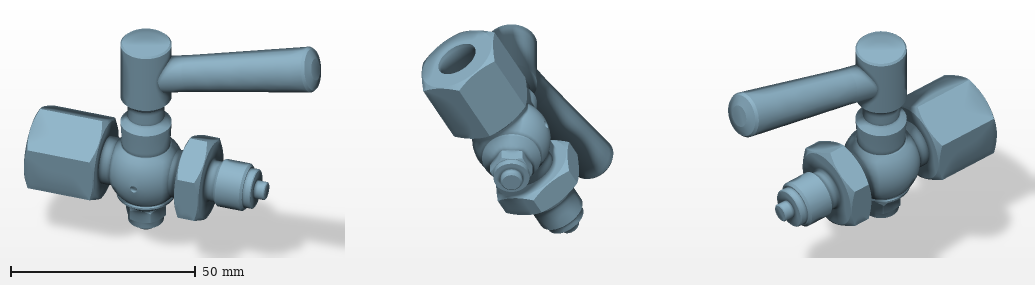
import cadquery as cq
import math


ball_dia = 21.4
pipe_dia = 13.2
vent_dia = 2.0
vent_depth = 3.2

hex_flats = 22.0
hex_face_dia = 21.4
hex_chamfer_angle = 30
inlet_nut_start = -31.4
inlet_nut_length = 20.05
outlet_nut_start = 11.55
outlet_nut_length = 7.0

socket_dia = 11.5
socket_depth = 16.2
countersink_dia = 5.5
bore_dia = 3.0
bore_length = 4.05
pilot_dia = 2.0
pilot_length = 1.6
drill_tip_angle = 59

neck_dia = 11.2
neck_fillet = 0.65
thread_start = 20.9
thread_end = 29.4
thread_chamfer = 0.65
collar_dia = 11.0
collar_end = 31.6
spigot_chamfer = 0.25
pin_dia = 5.0
pin_end = 34.6

stem_base_z = 8.1
stem_base_dia = 13.2
stem_dia = 14.0
stem_shoulder_z = 15.5
spindle_dia = 10.0
shoulder_height = (stem_dia - spindle_dia) / 2
hub_bottom_z = 22.1
hub_top_z = 41.95
hub_chamfer = 0.5

flange_dia = 16.0
flange_top_z = -7.9
flange_rim = 0.6
lock_nut_flats = 10.0
lock_nut_top_z = -11.15
lock_nut_bottom_z = -15.0
washer_dia = 9.8
washer_bottom_z = -17.0
stud_dia = 6.0
stud_bottom_z = -19.0
stud_chamfer = 0.5

lever_angle = 15
lever_z = 31.1
rod_dia = 10.0
rod_start = 5.4
rod_end = 12.7
grip_end = 48.65
grip_dia = 12.5
rim_dia = 11.5
rim_length = 0.8
tip_dia = 6.0
tip_length = 0.9


def revolve_profile(points, plane):
    """Revolve (radius, height) points, closed on the axis, about the plane's local Y."""
    outline = [(0, points[0][1])] + points
    ends_off_axis = points[-1][0] > 0
    if ends_off_axis:
        outline.append((0, points[-1][1]))
    return cq.Workplane(plane).polyline(outline).close().revolve(360, (0, 0), (0, 1))


def axis_plane(origin, direction):
    """Plane whose local Y is the given revolve axis in the XZ plane."""
    dx, dz = direction
    return cq.Plane(origin=origin, xDir=(dz, 0, -dx), normal=(0, -1, 0))


VERTICAL = axis_plane((0, 0, 0), (0, 1))
RUN = axis_plane((0, 0, 0), (1, 0))


def hexagon(axis, start, flats, face_dia, length):
    """Hexagonal prism along a revolve axis, its corners turned down to cones at both ends."""
    corner_radius = flats / math.sqrt(3)
    face_radius = face_dia / 2
    bevel = (corner_radius - face_radius) * math.tan(math.radians(hex_chamfer_angle))
    end = start + length
    blank = revolve_profile(
        [
            (face_radius, start),
            (corner_radius, start + bevel),
            (corner_radius, end - bevel),
            (face_radius, end),
        ],
        axis,
    )
    sketch_plane = cq.Plane(origin=axis.origin, xDir=axis.xDir, normal=axis.yDir)
    prism = (
        cq.Workplane(sketch_plane).workplane(offset=start)
        .polygon(6, 2 * corner_radius).extrude(length)
    )
    return prism.intersect(blank)


def make_run():
    pipe_radius = pipe_dia / 2
    neck_radius = neck_dia / 2
    collar_radius = collar_dia / 2
    outlet_nut_end = outlet_nut_start + outlet_nut_length
    run = revolve_profile(
        [
            (pipe_radius, inlet_nut_start + inlet_nut_length),
            (pipe_radius, outlet_nut_end),
            (neck_radius, outlet_nut_end),
            (neck_radius, thread_start),
            (pipe_radius, thread_start + pipe_radius - neck_radius),
            (pipe_radius, thread_end - thread_chamfer),
            (pipe_radius - thread_chamfer, thread_end),
            (collar_radius, thread_end),
            (collar_radius, collar_end - spigot_chamfer),
            (collar_radius - spigot_chamfer, collar_end),
            (pin_dia / 2, collar_end),
            (pin_dia / 2, pin_end - spigot_chamfer),
            (pin_dia / 2 - spigot_chamfer, pin_end),
        ],
        RUN,
    )
    neck_corners = run.edges("%CIRCLE").filter(lambda edge: math.isclose(edge.radius(), neck_radius))
    run = neck_corners.fillet(neck_fillet)
    inlet_nut = hexagon(RUN, inlet_nut_start, hex_flats, hex_face_dia, inlet_nut_length)
    outlet_nut = hexagon(RUN, outlet_nut_start, hex_flats, hex_face_dia, outlet_nut_length)
    return run.union(inlet_nut).union(outlet_nut)


def make_ball():
    ball = cq.Workplane("XY").sphere(ball_dia / 2)
    band = (
        cq.Workplane("XY").workplane(offset=flange_top_z)
        .circle(ball_dia).extrude(stem_base_z - flange_top_z)
    )
    return ball.intersect(band)


def make_stem():
    stem_radius = stem_dia / 2
    spindle_radius = spindle_dia / 2
    return revolve_profile(
        [
            (stem_base_dia / 2, 0),
            (stem_base_dia / 2, stem_base_z),
            (stem_radius, stem_shoulder_z),
            (spindle_radius, stem_shoulder_z + shoulder_height),
            (spindle_radius, hub_bottom_z),
            (stem_radius, hub_bottom_z + shoulder_height),
            (stem_radius, hub_top_z - hub_chamfer),
            (stem_radius - hub_chamfer, hub_top_z),
        ],
        VERTICAL,
    )


def make_bottom_fittings():
    stud_radius = stud_dia / 2
    fittings = revolve_profile(
        [
            (stud_radius - stud_chamfer, stud_bottom_z),
            (stud_radius, stud_bottom_z + stud_chamfer),
            (stud_radius, washer_bottom_z),
            (washer_dia / 2, washer_bottom_z),
            (washer_dia / 2, lock_nut_top_z),
            (lock_nut_flats / 2, lock_nut_top_z),
            (flange_dia / 2, flange_top_z - flange_rim),
            (flange_dia / 2, flange_top_z),
        ],
        VERTICAL,
    )
    lock_nut = hexagon(
        VERTICAL, lock_nut_bottom_z, lock_nut_flats, lock_nut_flats, lock_nut_top_z - lock_nut_bottom_z
    )
    return fittings.union(lock_nut)


def make_lever():
    tilt = math.radians(lever_angle)
    axis = axis_plane((0, 0, lever_z), (math.cos(tilt), math.sin(tilt)))
    rim_end = grip_end + rim_length
    return revolve_profile(
        [
            (rod_dia / 2, rod_start),
            (rod_dia / 2, rod_end),
            (grip_dia / 2, grip_end),
            (rim_dia / 2, rim_end),
            (tip_dia / 2, rim_end + tip_length),
        ],
        axis,
    )


def make_inlet_bore():
    socket_end = inlet_nut_start + socket_depth
    tip_slope = math.tan(math.radians(drill_tip_angle))
    countersink_end = socket_end + (countersink_dia - bore_dia) / 2 / tip_slope
    bore_end = countersink_end + bore_length
    pilot_end = bore_end + pilot_length
    tip_end = pilot_end + pilot_dia / 2 / tip_slope
    return revolve_profile(
        [
            (socket_dia / 2, inlet_nut_start),
            (socket_dia / 2, socket_end),
            (countersink_dia / 2, socket_end),
            (bore_dia / 2, countersink_end),
            (bore_dia / 2, bore_end),
            (pilot_dia / 2, bore_end),
            (pilot_dia / 2, pilot_end),
            (0, tip_end),
        ],
        RUN,
    )


def make_vent():
    return (
        cq.Workplane("XZ", origin=(0, -ball_dia / 2 + vent_depth, 0))
        .circle(vent_dia / 2).extrude(ball_dia / 2)
    )


result = (
    make_ball()
    .union(make_run())
    .union(make_stem())
    .union(make_bottom_fittings())
    .union(make_lever())
    .cut(make_inlet_bore())
    .cut(make_vent())
)